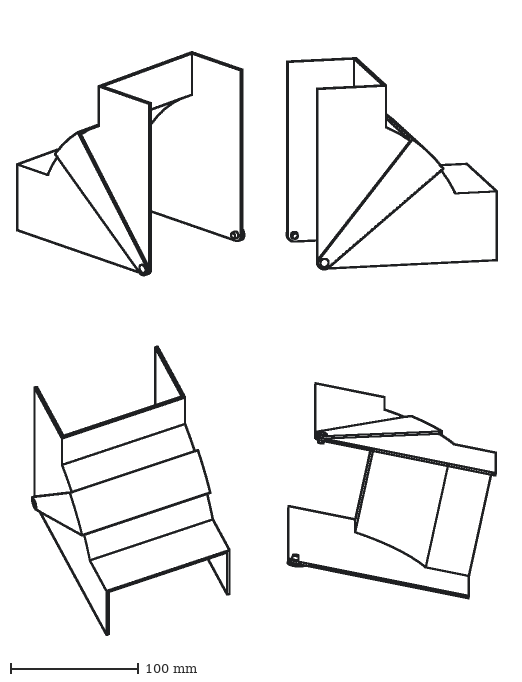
import cadquery as cq
import math

side = 145.0
wall = 2.0
cover_width = 109.6
clearance = 0.1
cover_inner_width = cover_width - 2 * wall
elbow_width = cover_inner_width - 2 * clearance
arm_height = 55.5

hinge_offset = 5.2
hinge_x = side - hinge_offset
hinge_z = hinge_offset
elbow_radius = 117.6
cover_radius = elbow_radius + wall

cover_half_angle = 6.0

pin_radius = 3.3
pin_protrusion = 3.2
pin_tip_radius = 2.2
pin_ends = (-1, 1)
pin_length = 2 * wall + clearance + pin_protrusion


def mid_plane_extrude(outline, width):
    """Extrude an XZ outline symmetrically about Y = 0."""
    return outline.extrude(width / 2, both=True)


def elbow_profile(inset):
    """Side outline of the elbow, with its outer walls moved in by inset."""
    height = arm_height - inset
    radius = elbow_radius - inset
    reach = math.sqrt(radius**2 - (height - hinge_z) ** 2)
    arc_mid = radius * math.sqrt(0.5)
    return (
        cq.Workplane("XZ")
        .moveTo(0, 0)
        .lineTo(0, height)
        .lineTo(hinge_x - reach, height)
        .threePointArc(
            (hinge_x - arc_mid, hinge_z + arc_mid),
            (side - height, hinge_z + reach),
        )
        .lineTo(side - height, side)
        .lineTo(side, side)
        .lineTo(side, hinge_z)
        .radiusArc((hinge_x, 0), hinge_offset)
        .close()
    )


def cover_profile(radius):
    """Wedge tangent to the round hinge end and closed by an arc of the given radius."""
    tilt = math.radians(cover_half_angle)
    tangent_along = -hinge_offset * math.sin(tilt)
    tangent_across = hinge_offset * math.cos(tilt)
    edge_length = math.sqrt(radius**2 - hinge_offset**2)
    corner_along = tangent_along + edge_length * math.cos(tilt)
    corner_across = tangent_across + edge_length * math.sin(tilt)

    def place(along, across):
        diagonal = math.sqrt(0.5)
        return (
            hinge_x + (across - along) * diagonal,
            hinge_z + (across + along) * diagonal,
        )

    return (
        cq.Workplane("XZ")
        .moveTo(*place(tangent_along, tangent_across))
        .lineTo(*place(corner_along, corner_across))
        .threePointArc(place(radius, 0), place(corner_along, -corner_across))
        .lineTo(*place(tangent_along, -tangent_across))
        .threePointArc(place(-hinge_offset, 0), place(tangent_along, tangent_across))
        .close()
    )


def make_pin(end):
    """Tapered pin on the hinge axis, flush with the cover at Y end -1 or +1."""
    axis = cq.Vector(0, -end, 0)
    start = cq.Vector(hinge_x, end * cover_width / 2, hinge_z)
    return cq.Workplane(cq.Solid.makeCone(pin_radius, pin_tip_radius, pin_length, start, axis))


def cut_pin_holes(body):
    """Cut tapered holes that fit the two pins."""
    for end in pin_ends:
        body = body.cut(make_pin(end))
    return body


def make_elbow():
    """Right-angle channel, open at both ends and along its two long outer sides."""
    outside = mid_plane_extrude(elbow_profile(0), elbow_width)
    inside = mid_plane_extrude(elbow_profile(wall), elbow_width - 2 * wall)
    return cut_pin_holes(outside.cut(inside))


def make_cover():
    """U-shaped strap over the outside bend of the elbow."""
    outside = mid_plane_extrude(cover_profile(cover_radius), cover_width)
    inside = mid_plane_extrude(
        cq.Workplane("XZ").center(hinge_x, hinge_z).circle(elbow_radius), cover_inner_width
    )
    return cut_pin_holes(outside.cut(inside))


elbow = make_elbow()
cover = make_cover()
pins = [make_pin(end) for end in pin_ends]

result = cq.Compound.makeCompound([elbow.val(), cover.val(), *[pin.val() for pin in pins]])